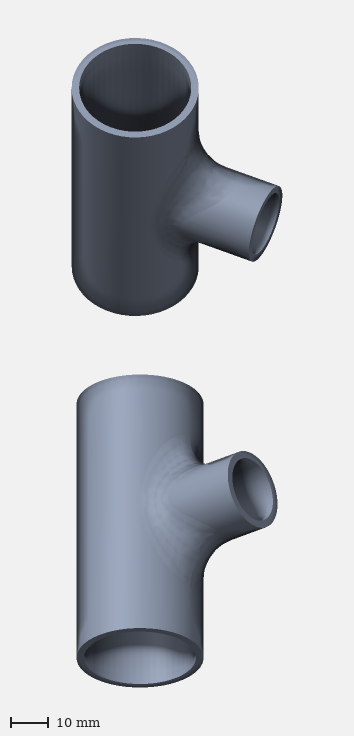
import cadquery as cq

run_length = 76.0
run_diameter = 33.7
branch_diameter = 21.3
branch_reach = 38.0
wall = 2.0
blend_radius = 12.0


def run_cylinder(diameter):
    """Vertical cylinder over the full run, centred on the origin."""
    return cq.Workplane("XY").circle(diameter / 2).extrude(run_length / 2, both=True)


def branch_cylinder(diameter):
    """Horizontal cylinder from the run axis to the branch end."""
    return cq.Workplane("YZ").circle(diameter / 2).extrude(branch_reach)


run = run_cylinder(run_diameter)
branch = branch_cylinder(branch_diameter)
body = run.union(branch)
junction = body.edges(cq.selectors.BoxSelector(
    (0, -branch_diameter, -branch_diameter),
    (branch_reach - wall, branch_diameter, branch_diameter),
)).edges("not |X").edges("not |Z")
body = junction.fillet(blend_radius)

run_bore = run_cylinder(run_diameter - 2 * wall)
branch_bore = branch_cylinder(branch_diameter - 2 * wall)
result = body.cut(run_bore).cut(branch_bore)